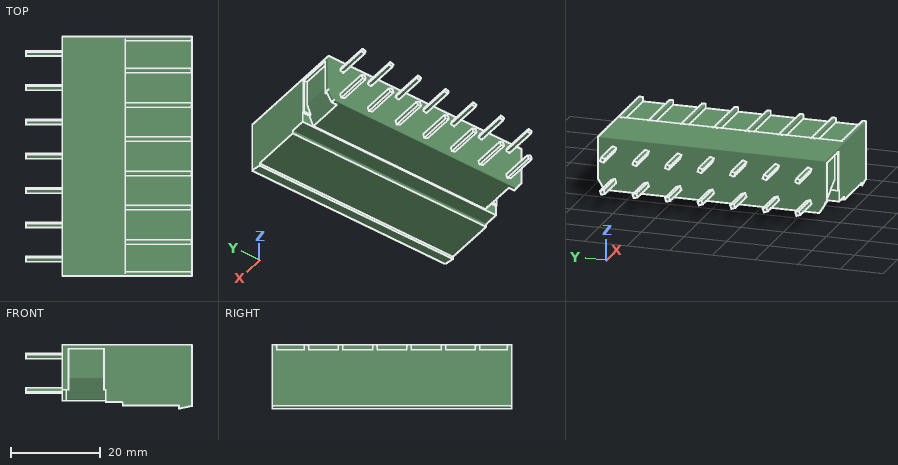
import cadquery as cq

LENGTH = 28.95
WIDTH = 53.35
HEIGHT = 14.3
SIDE_Y = -WIDTH / 2
EDGE_RADIUS = 0.24

FRONT_BOTTOM = 1.75
MIDDLE_BOTTOM = 1.5
REAR_BOTTOM = 0.7
LIP_END_BOTTOM = 0.65
MIDDLE_STEP_X = 9.75
REAR_STEP_X = 13.5
LIP_X = 26.0
STEP_RADIUS = 0.25

RECESS_START_X = 1.5
RECESS_END_X = 9.3
RECESS_RIM = 0.15
RECESS_TOP = HEIGHT - 0.9
RECESS_DEPTH = 0.85
SLOPE_TOP = HEIGHT - 7.45
SLOPE_RADIUS = 0.55
SLOPE_BOTTOM = HEIGHT - 12.05
SLOPE_BOTTOM_DEPTH = 2.65
BEVEL_DEPTH = 3.0
WIDE_TOP = HEIGHT - 10.1
WIDE_START_X = 0.9

CORNER_WIDTH = 1.5

POSITIONS = 7
PITCH = 7.65
PIN_LENGTH = 8.05
PIN_SIZE = 0.95
PIN_TILT = 20.0
UPPER_ROW = HEIGHT - 2.55
LOWER_ROW = UPPER_ROW - PITCH

PANEL_START_X = 14.05
PANEL_DEPTH = 1.1
RIB_WIDTH = 1.0
RIB_RADIUS = 0.4


def make_housing():
    """Stepped side outline extruded across the width."""
    outline = (
        cq.Workplane("XZ")
        .moveTo(0, HEIGHT)
        .lineTo(0, FRONT_BOTTOM)
        .lineTo(MIDDLE_STEP_X, FRONT_BOTTOM)
        .lineTo(MIDDLE_STEP_X, MIDDLE_BOTTOM)
        .lineTo(REAR_STEP_X - STEP_RADIUS, MIDDLE_BOTTOM)
        .radiusArc((REAR_STEP_X, MIDDLE_BOTTOM - STEP_RADIUS), STEP_RADIUS)
        .lineTo(REAR_STEP_X, REAR_BOTTOM)
        .lineTo(LIP_X, REAR_BOTTOM)
        .lineTo(LIP_X, 0)
        .lineTo(LENGTH, LIP_END_BOTTOM)
        .lineTo(LENGTH, HEIGHT)
        .close()
    )
    return outline.extrude(WIDTH / 2, both=True)


def make_corner_wedge():
    """Wedge removed from the lower -Y corner of the front wall."""
    return (
        cq.Workplane("YZ")
        .moveTo(SIDE_Y, WIDE_TOP)
        .lineTo(SIDE_Y + CORNER_WIDTH, FRONT_BOTTOM)
        .lineTo(SIDE_Y, FRONT_BOTTOM)
        .close()
        .extrude(MIDDLE_STEP_X)
    )


def make_recess():
    """Recess in the -Y side: upright panel, slope running inward, bevelled foot."""
    hollow = (
        cq.Workplane("YZ")
        .moveTo(SIDE_Y, RECESS_TOP)
        .lineTo(SIDE_Y + RECESS_DEPTH, RECESS_TOP)
        .lineTo(SIDE_Y + RECESS_DEPTH, SLOPE_TOP)
        .lineTo(SIDE_Y + SLOPE_BOTTOM_DEPTH, SLOPE_BOTTOM)
        .lineTo(SIDE_Y + BEVEL_DEPTH, FRONT_BOTTOM)
        .lineTo(SIDE_Y, FRONT_BOTTOM)
        .close()
        .extrude(LENGTH)
    )
    slope_top_edge = cq.selectors.NearestToPointSelector(
        (LENGTH / 2, SIDE_Y + RECESS_DEPTH, SLOPE_TOP)
    )
    hollow = hollow.edges(slope_top_edge).fillet(SLOPE_RADIUS)
    upper_span = (
        cq.Workplane("XY", origin=(0, 0, FRONT_BOTTOM))
        .moveTo(RECESS_START_X - RECESS_RIM, SIDE_Y)
        .lineTo(RECESS_START_X, SIDE_Y + RECESS_RIM)
        .lineTo(RECESS_START_X, 0)
        .lineTo(RECESS_END_X, 0)
        .lineTo(RECESS_END_X, SIDE_Y + RECESS_RIM)
        .lineTo(RECESS_END_X + RECESS_RIM, SIDE_Y)
        .close()
        .extrude(RECESS_TOP - FRONT_BOTTOM)
    )
    lower_span = cq.Workplane("XY").box(
        MIDDLE_STEP_X - WIDE_START_X, WIDTH, WIDE_TOP, centered=(False, True, False)
    ).translate((WIDE_START_X, 0, 0))
    return hollow.intersect(upper_span.union(lower_span))


def make_panel(y_start, y_end):
    """Sunken top panel whose mouth flares to round the ribs beside it."""
    floor = HEIGHT - PANEL_DEPTH
    shoulder = HEIGHT - RIB_RADIUS
    return (
        cq.Workplane("YZ", origin=(PANEL_START_X, 0, 0))
        .moveTo(y_start, floor)
        .lineTo(y_end, floor)
        .lineTo(y_end, shoulder)
        .radiusArc((y_end + RIB_RADIUS, HEIGHT), RIB_RADIUS)
        .lineTo(y_start - RIB_RADIUS, HEIGHT)
        .radiusArc((y_start, shoulder), RIB_RADIUS)
        .close()
        .extrude(LENGTH - PANEL_START_X)
    )


def make_pin(y, z, tilt):
    """Square pin standing out of the front face, turned about its own axis."""
    return (
        cq.Workplane("YZ", origin=(0, y, z))
        .transformed(rotate=(0, 0, tilt))
        .rect(PIN_SIZE, PIN_SIZE)
        .extrude(-PIN_LENGTH)
    )


def both_sides(shape):
    """Shape together with its mirror image across Y = 0."""
    return shape.union(shape.mirror("XZ"))


body = make_housing().cut(both_sides(make_corner_wedge()))
body = body.faces(">Z").edges("|X").fillet(EDGE_RADIUS)
body = body.faces("<X").edges().fillet(EDGE_RADIUS)
body = body.faces(">X").edges("|Z").fillet(EDGE_RADIUS)
body = body.cut(both_sides(make_recess()))

inner_edge = WIDTH / 2 - RIB_WIDTH
half_panel = (PITCH - RIB_WIDTH) / 2
for index in range(POSITIONS):
    centre_y = (index - (POSITIONS - 1) / 2) * PITCH
    panel_start = max(centre_y - half_panel, -inner_edge)
    panel_end = min(centre_y + half_panel, inner_edge)
    body = body.cut(make_panel(panel_start, panel_end))
    body = body.union(make_pin(centre_y, UPPER_ROW, PIN_TILT))
    body = body.union(make_pin(centre_y, LOWER_ROW, -PIN_TILT))

result = body